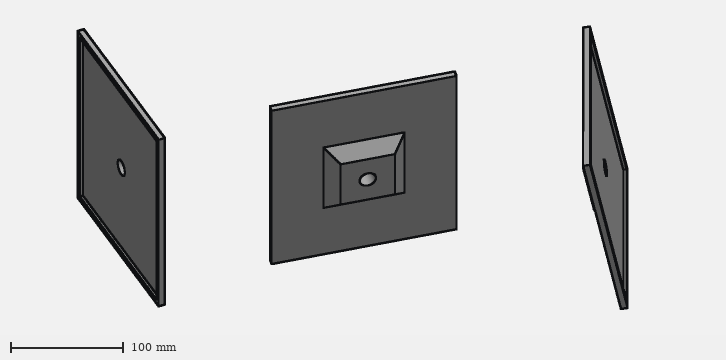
import cadquery as cq

plate_width = 170.0
plate_height = 190.0
plate_thickness = 6.0

rim_width = 4.5
recess_depth = 3.0

boss_top_side = 50.0
boss_height = 12.4
boss_base_side = boss_top_side + 2 * boss_height

hole_diameter = 15.0


def section_at(y):
    """Workplane facing +Y at the given depth."""
    return cq.Workplane("XZ", origin=(0, y, 0)).transformed(rotate=(180, 0, 0))


def make_plate():
    plate = section_at(0).rect(plate_width, plate_height).extrude(plate_thickness)
    recess = (
        section_at(0)
        .rect(plate_width - 2 * rim_width, plate_height - 2 * rim_width)
        .extrude(recess_depth)
    )
    return plate.cut(recess)


def make_boss():
    return (
        section_at(plate_thickness)
        .rect(boss_base_side, boss_base_side)
        .workplane(offset=boss_height)
        .rect(boss_top_side, boss_top_side)
        .loft(ruled=True)
    )


def make_hole():
    return section_at(0).circle(hole_diameter / 2).extrude(plate_thickness + boss_height)


result = make_plate().union(make_boss()).cut(make_hole())